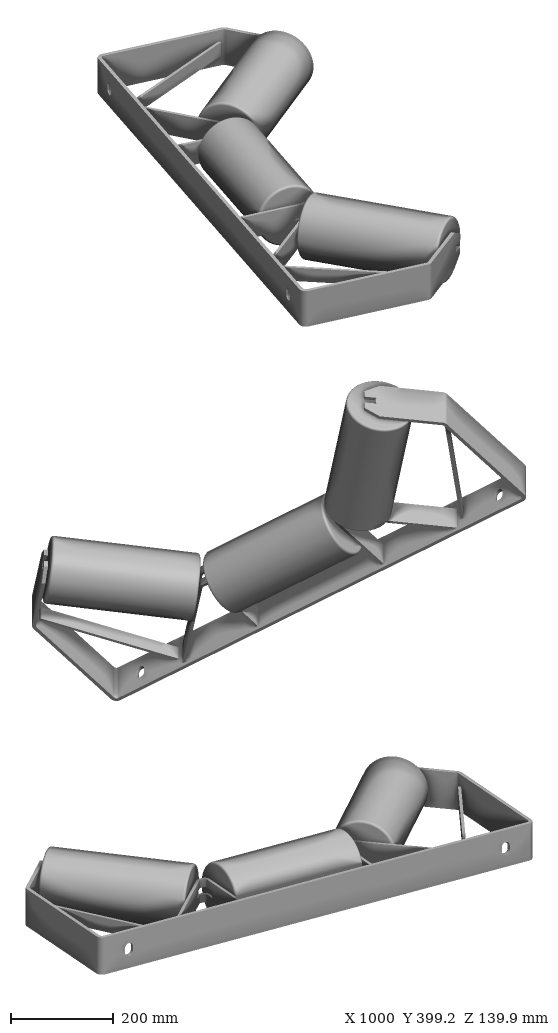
import cadquery as cq
import math


frame_length = 1000.0
frame_height = 80.0
frame_thickness = 7.5
frame_bend_radius = 6.0
arm_length = 159.0
arm_chamfer_along = 30.0
arm_chamfer_z = 18.0
mount_slot_x = 433.0
mount_slot_width = 18.0
mount_slot_height = 27.0

roller_diameter = 133.0
roller_length = 292.0
roller_edge_radius = 5.0
wing_angle = 45.0
wing_center_x = -299.0
wing_center_y = 251.0
middle_center_y = 128.0
roller_drop = 7.0

spindle_diameter = 22.0
spindle_width = 15.0
spindle_root = 20.0
end_gap = 3.0
arm_gap = 4.0

bracket_thickness = 6.0
bracket_height = 50.0
bracket_top_y = 168.0
bracket_bend_radius = 6.0

strut_thickness = 6.0
strut_height = 30.0
strut_angle = 60.0
strut_top_y = 258.0

frame_side_x = -frame_length / 2
roller_reach = roller_length / 2 + end_gap
arm_reach = roller_length / 2 + arm_gap
roller_z = -roller_drop
wing_x = -math.cos(math.radians(wing_angle))
wing_y = math.sin(math.radians(wing_angle))
wing_outward = (wing_x, wing_y, 0)
wing_inward = (-wing_x, -wing_y, 0)
wing_slot_dir = (wing_y, -wing_x, 0)
wing_tilt = math.degrees(math.asin(roller_drop / roller_length))


def strip(path, thickness, inner_radius, height, center_z=0.0):
    """Upright bent strip whose thickness lies on the left of an open XY path.

    The path is the outside of the bends, which share their centres with the inner radius.
    """
    middle_plane = cq.Workplane("XY", origin=(0, 0, center_z))
    normals = []
    for (x0, y0), (x1, y1) in zip(path, path[1:]):
        length = math.hypot(x1 - x0, y1 - y0)
        normals.append(((y0 - y1) / length, (x1 - x0) / length))
    far_side = []
    for (x, y), (ax, ay), (bx, by) in zip(path, normals[:1] + normals, normals + normals[-1:]):
        miter = thickness / (1 + ax * bx + ay * by)
        far_side.append((x + (ax + bx) * miter, y + (ay + by) * miter))
    body = middle_plane.polyline(path + far_side[::-1]).close().extrude(height / 2, both=True)
    bends = ((path, inner_radius + thickness), (far_side, inner_radius))
    for corners, radius in bends:
        for x, y in corners[1:-1]:
            corner = cq.selectors.NearestToPointSelector((x, y, center_z))
            body = body.edges("|Z").edges(corner).fillet(radius)
    return body


def inside_frame(body):
    """Trim a body to the room between the inner faces of the frame base and sides."""
    width = frame_length - 2 * frame_thickness
    room = cq.Workplane("XY").box(width, frame_length, frame_length, centered=(True, False, True))
    return body.intersect(room.translate((0, frame_thickness, 0)))


def wing_point(along, z):
    """Point on the wing axis at a distance outward from the roller centre."""
    return (wing_center_x + along * wing_x, wing_center_y + along * wing_y, z)


def spindle_end(start, axis, slot_dir, length, slot_run=0.0):
    """Level spindle end with two flats; slot_run stretches it into the open slot that receives it."""
    plane = cq.Workplane(cq.Plane(origin=start, xDir=slot_dir, normal=axis))
    end = plane.circle(spindle_diameter / 2).extrude(length)
    if slot_run:
        end = end.union(plane.center(slot_run / 2, 0).rect(slot_run, spindle_diameter).extrude(length))
    flats = plane.rect(2 * slot_run + 2 * spindle_diameter, spindle_width).extrude(length)
    return end.intersect(flats)


def make_frame():
    """Base, sides and inclined arms of one bent strip, with mounting slots and spindle slots."""
    arm_plane = arm_reach + frame_thickness
    kink_y = wing_center_y + (arm_plane - (frame_side_x - wing_center_x) * wing_x) / wing_y
    tip = (frame_side_x + arm_length * wing_y, kink_y - arm_length * wing_x)
    half = [tip, (frame_side_x, kink_y), (frame_side_x, 0)]
    path = half + [(-x, y) for x, y in half[::-1]]
    frame = strip(path, frame_thickness, frame_bend_radius, frame_height)

    mount_slots = (
        cq.Workplane("XZ")
        .pushPoints([(-mount_slot_x, 0), (mount_slot_x, 0)])
        .slot2D(mount_slot_height, mount_slot_width, 90)
        .extrude(-frame_thickness)
    )
    frame = frame.cut(mount_slots)

    tip_plane = cq.Workplane(cq.Plane(origin=(*tip, 0), xDir=wing_slot_dir, normal=wing_inward))
    slot = spindle_end(wing_point(arm_reach, 0), wing_outward, wing_slot_dir, frame_thickness, arm_length)
    cutters = [slot]
    for side in (1, -1):
        edge_z = side * frame_height / 2
        chamfer = tip_plane.polyline(
            [(0, edge_z), (-arm_chamfer_along, edge_z), (0, edge_z - side * arm_chamfer_z)]
        ).close()
        cutters.append(chamfer.extrude(frame_thickness))
    for cutter in cutters:
        frame = frame.cut(cutter).cut(cutter.mirror("YZ"))
    return frame


def make_roller():
    """Plain roller along X, centred on the origin."""
    left_end = cq.Workplane("YZ", origin=(-roller_length / 2, 0, 0))
    shell = left_end.circle(roller_diameter / 2).extrude(roller_length)
    return shell.faces("<X or >X").edges().fillet(roller_edge_radius)


def make_middle_roller():
    """Level roller with a spindle end on each side."""
    roller = make_roller().translate((0, middle_center_y, roller_z))
    length = spindle_root + end_gap + bracket_thickness
    start = (-roller_length / 2 + spindle_root, middle_center_y, roller_z)
    end = spindle_end(start, (-1, 0, 0), (0, 1, 0), length)
    return roller.union(end).union(end.mirror("YZ"))


def make_wing_roller():
    """Left inclined roller; its outer end sits roller_drop higher than its inner end."""
    roller = make_roller().rotate((0, 0, 0), (0, 1, 0), wing_tilt).rotate((0, 0, 0), (0, 0, 1), -wing_angle)
    roller = roller.translate(wing_point(0, roller_z / 2))
    root = roller_length / 2 - spindle_root
    outer_length = spindle_root + arm_gap + frame_thickness
    inner_length = spindle_root + end_gap + bracket_thickness
    outer = spindle_end(wing_point(root, 0), wing_outward, wing_slot_dir, outer_length)
    inner = spindle_end(wing_point(-root, roller_z), wing_inward, wing_slot_dir, inner_length)
    return roller.union(outer).union(inner)


def make_bracket():
    """Left inner bracket: an upright leg and a sloping leg joined by a narrow slotted top."""
    seat_x, seat_y, _ = wing_point(-roller_reach, roller_z)
    run_per_rise = math.tan(math.radians(wing_angle))
    foot = (seat_x - seat_y * run_per_rise, 0)
    sloping_top = (seat_x + (bracket_top_y - seat_y) * run_per_rise, bracket_top_y)
    path = [(-roller_reach, 0), (-roller_reach, bracket_top_y), sloping_top, foot]
    bracket = inside_frame(strip(path, bracket_thickness, bracket_bend_radius, bracket_height, roller_z))
    upright_slot = spindle_end(
        (-roller_reach, middle_center_y, roller_z), (-1, 0, 0), (0, 1, 0), bracket_thickness, bracket_top_y
    )
    sloping_slot = spindle_end(
        wing_point(-roller_reach, roller_z), wing_inward, wing_slot_dir, bracket_thickness, bracket_top_y
    )
    top_width = -roller_reach - sloping_top[0]
    top_slot = cq.Workplane("XY").box(top_width, 2 * (bracket_thickness + bracket_bend_radius), spindle_width)
    top_slot = top_slot.translate((-roller_reach - top_width / 2, bracket_top_y, roller_z))
    return bracket.cut(upright_slot).cut(sloping_slot).cut(top_slot)


def make_strut():
    """Left straight strut from the frame side down to the base."""
    side_face_x = frame_side_x + frame_thickness
    slope = math.tan(math.radians(strut_angle))
    foot = (side_face_x + strut_top_y / slope, 0)
    top = (side_face_x, strut_top_y)
    return inside_frame(strip([top, foot], strut_thickness, 0, strut_height))


def left_and_right(left_body):
    """The solid on the -X side and its mirror image on the +X side."""
    return [body.val() for body in (left_body, left_body.mirror("YZ"))]


frame = make_frame()
middle_roller = make_middle_roller()
wing_rollers = left_and_right(make_wing_roller())
brackets = left_and_right(make_bracket())
struts = left_and_right(make_strut())

result = cq.Compound.makeCompound(
    [frame.val(), middle_roller.val(), *wing_rollers, *brackets, *struts]
)